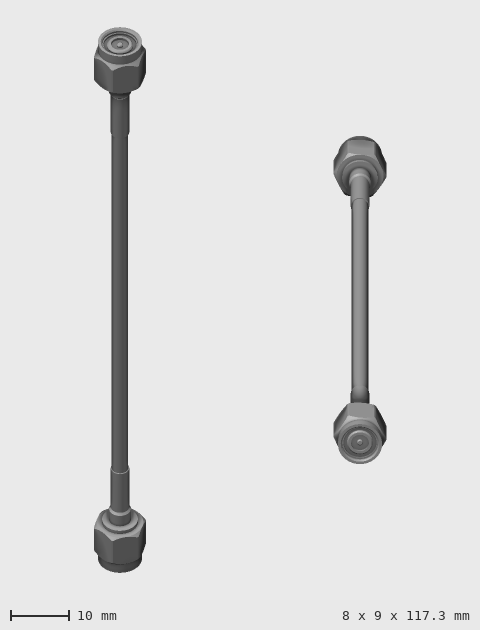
import cadquery as cq
import math


total_length = 117.3
plug_tip_z = total_length / 2
nut_hex_top_z = 56.8
nut_hex_bottom_z = 50.5
collar_bottom_z = 49.8
neck_bottom_z = 47.4
sleeve_top_z = 46.9
sleeve_bottom_z = 38.1

hex_sides = 6
hex_across_flats = 8.0
hex_across_corners = 9.0
hex_corner_radius = hex_across_corners / 2
hex_back_radius = 4.0
hex_back_chamfer = 0.5
hex_front_chamfer = 0.8
nut_rim_radius = 3.8

collar_radius = 3.0
neck_radius = 1.9
neck_root_radius = neck_radius - (neck_bottom_z - sleeve_top_z)
sleeve_diameter = 3.2
sleeve_radius = sleeve_diameter / 2

mouth_radius = 3.3
mouth_bore_radius = 3.0
mouth_bore_depth = 0.6
bore_radius = 2.8
socket_depth = 0.9
contact_outer_radius = 2.2
contact_inner_radius = 1.5
contact_recess = 0.5
contact_chamfer = 0.2
pin_radius = 0.53
pin_recess = 0.5
pin_chamfer = 0.18

cable_radius = 1.4


def revolved(points):
    """Revolve a closed (radius, height) outline about the Z axis."""
    return cq.Workplane("XZ").polyline(points).close().revolve(360, (0, 0), (0, 1))


def make_hex_grip():
    """Hexagon with two flats facing X; its corners are turned down and chamfered at both ends."""
    hex_height = nut_hex_top_z - nut_hex_bottom_z
    hexagon = (
        cq.Workplane("XY")
        .workplane(offset=nut_hex_bottom_z)
        .transformed(rotate=(0, 0, 90))
        .polygon(hex_sides, hex_across_flats / math.cos(math.pi / hex_sides))
        .extrude(hex_height)
    )
    turned_envelope = revolved(
        [
            (0, nut_hex_bottom_z),
            (hex_back_radius, nut_hex_bottom_z),
            (hex_corner_radius, nut_hex_bottom_z + hex_back_chamfer),
            (hex_corner_radius, nut_hex_top_z - hex_front_chamfer),
            (nut_rim_radius, nut_hex_top_z),
            (0, nut_hex_top_z),
        ]
    )
    return hexagon.intersect(turned_envelope)


def make_turned_body():
    """Round profile from the crimp sleeve up to the rim of the nut."""
    return revolved(
        [
            (0, sleeve_bottom_z),
            (sleeve_radius, sleeve_bottom_z),
            (sleeve_radius, sleeve_top_z),
            (neck_root_radius, sleeve_top_z),
            (neck_radius, neck_bottom_z),
            (neck_radius, collar_bottom_z),
            (collar_radius, collar_bottom_z),
            (collar_radius, nut_hex_bottom_z),
            (nut_rim_radius, nut_hex_bottom_z),
            (nut_rim_radius, plug_tip_z),
            (0, plug_tip_z),
        ]
    )


def make_socket():
    """Stepped space inside the nut, with a countersunk mouth, around the contact tube and centre pin."""
    floor_z = plug_tip_z - socket_depth
    step_z = plug_tip_z - mouth_bore_depth
    mouth_chamfer = mouth_radius - mouth_bore_radius
    contact_tip_z = plug_tip_z - contact_recess
    bore = revolved(
        [
            (0, floor_z),
            (bore_radius, floor_z),
            (bore_radius, step_z),
            (mouth_bore_radius, step_z),
            (mouth_bore_radius, plug_tip_z - mouth_chamfer),
            (mouth_radius, plug_tip_z),
            (0, plug_tip_z),
        ]
    )
    contact_tube = revolved(
        [
            (contact_inner_radius, floor_z),
            (contact_outer_radius, floor_z),
            (contact_outer_radius, contact_tip_z - contact_chamfer),
            (contact_outer_radius - contact_chamfer, contact_tip_z),
            (contact_inner_radius, contact_tip_z),
        ]
    )
    centre_pin = (
        cq.Workplane("XY")
        .workplane(offset=floor_z)
        .circle(pin_radius)
        .extrude(socket_depth - pin_recess)
        .faces(">Z")
        .chamfer(pin_chamfer)
    )
    return bore.cut(contact_tube).cut(centre_pin)


def make_plug(flip_angle):
    """One plug, pointing up at 0 degrees and down at 180."""
    plug = make_turned_body().union(make_hex_grip()).cut(make_socket())
    return plug.rotate((0, 0, 0), (1, 0, 0), flip_angle)


def make_cable():
    """Round cable filling the length between the two crimp sleeves."""
    cable_length = 2 * sleeve_bottom_z
    return cq.Workplane("XY").workplane(offset=-sleeve_bottom_z).circle(cable_radius).extrude(cable_length)


cable = make_cable()
plugs = [make_plug(flip_angle).val() for flip_angle in (0, 180)]

result = cq.Compound.makeCompound([cable.val(), *plugs])